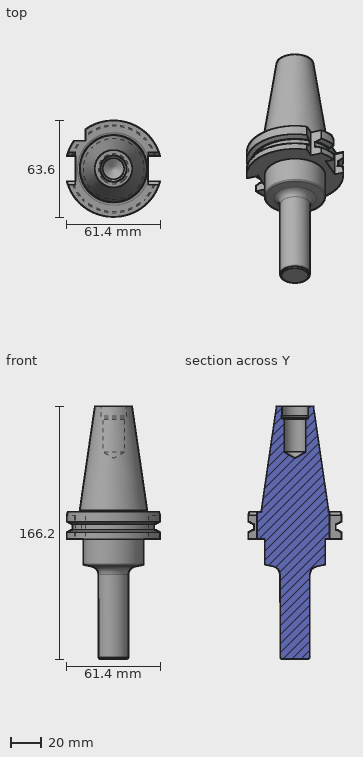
import cadquery as cq
import math


GAUGE_DIAMETER = 44.45
TAPER_RATIO = 7 / 24
TAPER_TOP_Z = 68.25
NECK_DIAMETER = 43.85

FLANGE_DIAMETER = 63.55
FLANGE_TOP_Z = -1.0
FLANGE_BOTTOM_Z = -19.1
RELIEF_DIAMETER = 47.6
RELIEF_SLOPE = 8
RELIEF_RADIUS = 0.6

GROOVE_CENTRE_Z = -11.1
GROOVE_MOUTH_WIDTH = 7.07
GROOVE_SLOT_WIDTH = 3.75
GROOVE_FLOOR_DIAMETER = 56.25
GROOVE_FLANK_ANGLE = 30

NOTCH_WIDTH = 16.35
NOTCH_CHAMFER = 2.5
NOTCH_FLOOR_LEFT = 25.0
NOTCH_FLOOR_RIGHT = 22.8
CORNER_OFFSET = 18.5

BODY_DIAMETER = 40.0
BODY_BOTTOM_Z = -36.0
BODY_EDGE_RADIUS = 1.0
SHOULDER_SLOPE = 12
SHOULDER_FILLET = 5.0
SHANK_DIAMETER = 20.0
SHANK_BOTTOM_Z = -98.0
LEAD_IN_LENGTH = 1.0
LEAD_IN_ANGLE = 12
SHANK_END_CHAMFER = 0.9

SELECT_MARGIN = 0.01

PILOT_DIAMETER = 17.01
PILOT_DEPTH = 6.2
UNDERCUT_DIAMETER = 17.41
UNDERCUT_DEPTH = 7.8
TAP_DIAMETER = 14.0
TAP_DEPTH = 30.0
CONE_SLOPE = 30


def rise(run, slope):
    """Offset gained along a run, for an angle in degrees."""
    return run * math.tan(math.radians(slope))


def revolve(profile):
    """Close a radius/height profile and turn it about the tool axis."""
    return profile.close().revolve(360, (0, 0, 0), (0, 1, 0))


def round_rim(body, rim_radius, z, fillet_radius):
    """Fillet the circular edge of a given radius, centred on the axis at height z."""
    reach = rim_radius + SELECT_MARGIN
    rim_box = cq.selectors.BoxSelector(
        (-reach, -reach, z - SELECT_MARGIN),
        (reach, reach, z + SELECT_MARGIN),
        boundingbox=True,
    )
    return body.edges("%CIRCLE").edges(rim_box).fillet(fillet_radius)


def make_shank():
    body_r = BODY_DIAMETER / 2
    shank_r = SHANK_DIAMETER / 2
    shoulder_z = BODY_BOTTOM_Z - rise(body_r - shank_r, SHOULDER_SLOPE)
    lead_r = shank_r - rise(LEAD_IN_LENGTH, LEAD_IN_ANGLE)
    lead_bottom_z = SHANK_BOTTOM_Z + SHANK_END_CHAMFER
    shank = revolve(
        cq.Workplane("XZ")
        .moveTo(0, FLANGE_BOTTOM_Z)
        .lineTo(body_r, FLANGE_BOTTOM_Z)
        .lineTo(body_r, BODY_BOTTOM_Z)
        .lineTo(shank_r, shoulder_z)
        .lineTo(shank_r, lead_bottom_z + LEAD_IN_LENGTH)
        .lineTo(lead_r, lead_bottom_z)
        .lineTo(lead_r - SHANK_END_CHAMFER, SHANK_BOTTOM_Z)
        .lineTo(0, SHANK_BOTTOM_Z)
    )
    shank = round_rim(shank, shank_r, shoulder_z, SHOULDER_FILLET)
    return round_rim(shank, body_r, BODY_BOTTOM_Z, BODY_EDGE_RADIUS)


def make_taper_and_flange():
    gauge_r = GAUGE_DIAMETER / 2
    neck_r = NECK_DIAMETER / 2
    flange_r = FLANGE_DIAMETER / 2
    relief_r = RELIEF_DIAMETER / 2
    top_r = gauge_r - TAPER_TOP_Z * TAPER_RATIO / 2
    slope = math.radians(RELIEF_SLOPE)
    arc_r = neck_r + RELIEF_RADIUS
    face_r = arc_r + RELIEF_RADIUS * math.sin(slope)
    face_z = FLANGE_TOP_Z - rise(relief_r - face_r, RELIEF_SLOPE)
    arc_z = face_z + RELIEF_RADIUS * math.cos(slope)
    half_turn = (math.pi / 2 - slope) / 2
    arc_mid = (arc_r - RELIEF_RADIUS * math.cos(half_turn), arc_z - RELIEF_RADIUS * math.sin(half_turn))
    return revolve(
        cq.Workplane("XZ")
        .moveTo(0, FLANGE_BOTTOM_Z)
        .lineTo(flange_r, FLANGE_BOTTOM_Z)
        .lineTo(flange_r, FLANGE_TOP_Z)
        .lineTo(relief_r, FLANGE_TOP_Z)
        .lineTo(face_r, face_z)
        .threePointArc(arc_mid, (neck_r, arc_z))
        .lineTo(neck_r, 0)
        .lineTo(gauge_r, 0)
        .lineTo(top_r, TAPER_TOP_Z)
        .lineTo(0, TAPER_TOP_Z)
    )


def make_gripper_groove():
    flange_r = FLANGE_DIAMETER / 2
    floor_r = GROOVE_FLOOR_DIAMETER / 2
    half_mouth = GROOVE_MOUTH_WIDTH / 2
    half_slot = GROOVE_SLOT_WIDTH / 2
    flank_depth = (half_mouth - half_slot) / rise(1, GROOVE_FLANK_ANGLE)
    flank_r = flange_r - flank_depth
    return revolve(
        cq.Workplane("XZ", origin=(0, 0, GROOVE_CENTRE_Z))
        .moveTo(floor_r, -half_slot)
        .lineTo(flank_r, -half_slot)
        .lineTo(flange_r, -half_mouth)
        .lineTo(flange_r, half_mouth)
        .lineTo(flank_r, half_slot)
        .lineTo(floor_r, half_slot)
    )


def make_drive_notch(floor_offset, side):
    """Cutter for one notch; side is -1 for -X and +1 for +X."""
    half_width = NOTCH_WIDTH / 2
    half_mouth = half_width + NOTCH_CHAMFER
    chamfer_z = FLANGE_TOP_Z - NOTCH_CHAMFER
    length = FLANGE_DIAMETER / 2 - floor_offset
    return (
        cq.Workplane("YZ", origin=(side * floor_offset, 0, 0))
        .moveTo(-half_width, FLANGE_BOTTOM_Z)
        .lineTo(half_width, FLANGE_BOTTOM_Z)
        .lineTo(half_width, chamfer_z)
        .lineTo(half_mouth, FLANGE_TOP_Z)
        .lineTo(-half_mouth, FLANGE_TOP_Z)
        .lineTo(-half_width, chamfer_z)
        .close()
        .extrude(side * length)
    )


def make_orientation_corner():
    size = FLANGE_DIAMETER / 2 - CORNER_OFFSET
    height = FLANGE_TOP_Z - FLANGE_BOTTOM_Z
    return (
        cq.Workplane("XY")
        .box(size, size, height, centered=False)
        .translate((-CORNER_OFFSET - size, CORNER_OFFSET, FLANGE_BOTTOM_Z))
    )


def make_bore():
    pilot_r = PILOT_DIAMETER / 2
    undercut_r = UNDERCUT_DIAMETER / 2
    tap_r = TAP_DIAMETER / 2
    countersink_depth = UNDERCUT_DEPTH + rise(undercut_r - tap_r, CONE_SLOPE)
    return revolve(
        cq.Workplane("XZ", origin=(0, 0, TAPER_TOP_Z))
        .moveTo(0, 0)
        .lineTo(pilot_r, 0)
        .lineTo(pilot_r, -PILOT_DEPTH)
        .lineTo(undercut_r, -PILOT_DEPTH)
        .lineTo(undercut_r, -UNDERCUT_DEPTH)
        .lineTo(tap_r, -countersink_depth)
        .lineTo(tap_r, -TAP_DEPTH)
        .lineTo(0, -TAP_DEPTH - rise(tap_r, CONE_SLOPE))
    )


holder = make_taper_and_flange().union(make_shank())
holder = holder.cut(make_gripper_groove())
holder = holder.cut(make_drive_notch(NOTCH_FLOOR_LEFT, -1))
holder = holder.cut(make_drive_notch(NOTCH_FLOOR_RIGHT, 1))
holder = holder.cut(make_orientation_corner())
result = holder.cut(make_bore())